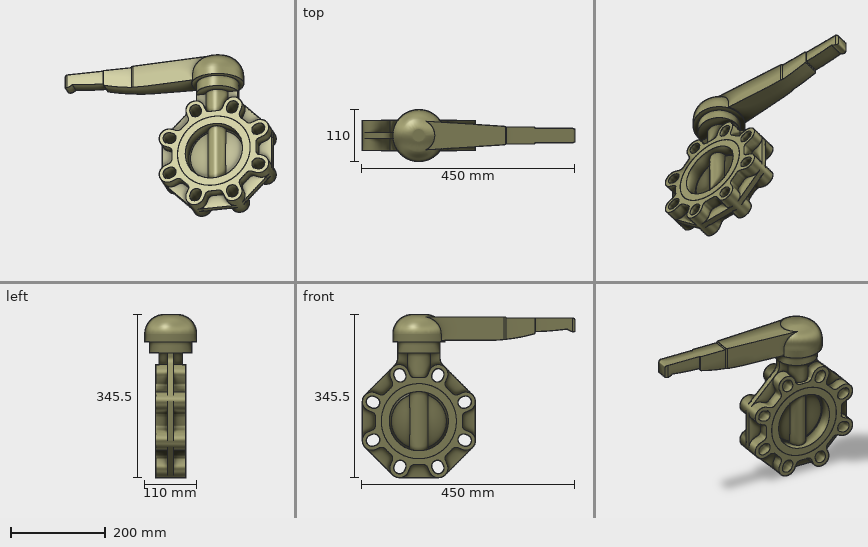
import cadquery as cq
import math


LUG_COUNT = 8
LUG_STEP = 360 / LUG_COUNT
HOUSING_LENGTH = 64.0
OUTER_APOTHEM = 119.5
HUB_APOTHEM = 91.8
LUG_WIDTH = 40.5
LUG_FILLET = 10.5
SLOT_WIDTH = 24.0
SLOT_TRAVEL = 4.5
SLOT_RADIUS = 105.0
WEB_THICKNESS = 12.5
WEB_FILLET = 22.5
NECK_DIAMETER = 50.5
FLANGE_DIAMETER = 90.0
FLANGE_BOTTOM = 144.5
FLANGE_TOP = 168.0

LINER_DIAMETER = 159.0
BORE_DIAMETER = 125.0
LINER_LENGTH = 65.0

SHAFT_DIAMETER = 40.5
DISC_FACE_DIAMETER = 116.5
DISC_RIM_THICKNESS = 4.5
DISC_FACE_THICKNESS = 9.0
DISC_THICKNESS = 14.5

KNOB_DIAMETER = 110.0
KNOB_FLAT_DIAMETER = 26.0
KNOB_TOP = 226.0
KNOB_ROUND = (KNOB_DIAMETER - KNOB_FLAT_DIAMETER) / 2

OVERALL_LENGTH = 450.0
LEVER_END = OVERALL_LENGTH - OUTER_APOTHEM
ARM_START = 12.5
ARM_END = 180.5
ARM_TOP = 220.5
ARM_BOTTOM = 170.5
ARM_START_WIDTH = 60.7
ARM_END_WIDTH = 39.5
ARM_STEP = 2.2
ARM_STEP_LENGTH = 3.5
ARM_TOP_STEP_START = 183.0
ARM_TOP_STEP_LENGTH = 2.2
ARM_BOTTOM_BEND = 144.0

SHANK_END = 245.0
SHANK_WIDTH = 36.5
SHANK_END_BOTTOM = 184.0
SHANK_ROUND = 2.0

GRIP_START = 246.5
GRIP_WIDTH = 31.5
GRIP_TOP = ARM_TOP - ARM_STEP
GRIP_BOTTOM = 189.0
GRIP_WAIST = 313.5
GRIP_WAIST_BOTTOM = 194.5
GRIP_BELLY = 1.0
HOOK_START = 325.0
HOOK_BULGE = 1.0
HOOK_CORNER = 2.2
GRIP_END_SIDE_CHAMFER = 2.5


def extrude_y(sketch, length):
    """Extrude an XZ sketch evenly to both sides of the plane Y = 0."""
    return sketch.extrude(length / 2, both=True)


def cylinder_y(diameter, length):
    return extrude_y(cq.Workplane("XZ").circle(diameter / 2), length)


def octagon(apothem, length):
    across_corners = 2 * apothem / math.cos(math.radians(LUG_STEP / 2))
    sketch = cq.Workplane("XZ").polygon(LUG_COUNT, across_corners)
    return extrude_y(sketch, length).rotate((0, 0, 0), (0, 1, 0), LUG_STEP / 2)


def lug_angles():
    return [(index + 0.5) * LUG_STEP for index in range(LUG_COUNT)]


def radial_slot(width, inner, outer):
    """Round-ended bar along X between two end-centre radii, as long as the housing."""
    sketch = (
        cq.Workplane("XZ")
        .center((inner + outer) / 2, 0)
        .slot2D(outer - inner + width, width)
    )
    return extrude_y(sketch, HOUSING_LENGTH)


def make_lugged_ring():
    lug_radius = (OUTER_APOTHEM - LUG_WIDTH / 2) / math.cos(math.radians(LUG_STEP / 2))
    ring = octagon(HUB_APOTHEM, HOUSING_LENGTH)
    lug = radial_slot(LUG_WIDTH, HUB_APOTHEM / 2, lug_radius)
    for angle in lug_angles():
        ring = ring.union(lug.rotate((0, 0, 0), (0, 1, 0), angle))
    corner_limit = HUB_APOTHEM + LUG_FILLET / 2
    corners = [
        edge for edge in ring.edges("|Y").vals()
        if math.hypot(edge.Center().x, edge.Center().z) < corner_limit
    ]
    return ring.newObject(corners).fillet(LUG_FILLET)


def make_web():
    """Thin octagon that ties the lugs together, with a neck web up to the flange."""
    web = octagon(OUTER_APOTHEM, WEB_THICKNESS).edges("|Y").fillet(LUG_WIDTH / 2)
    neck_x = FLANGE_DIAMETER / 2
    slope_middle = OUTER_APOTHEM * math.cos(math.radians(LUG_STEP))
    bend_z = 2 * slope_middle - neck_x
    half_outline = [(neck_x, FLANGE_BOTTOM), (neck_x, bend_z), (slope_middle, slope_middle)]
    other_half = [(-x, z) for x, z in reversed(half_outline)]
    neck_web = extrude_y(
        cq.Workplane("XZ").polyline(half_outline + other_half).close(), WEB_THICKNESS
    )
    bends = [
        edge for edge in neck_web.edges("|Y").vals()
        if math.isclose(edge.Center().z, bend_z)
    ]
    return web.union(neck_web.newObject(bends).fillet(WEB_FILLET))


def make_housing():
    neck = cq.Workplane("XY").circle(NECK_DIAMETER / 2).extrude(FLANGE_TOP)
    flange = (
        cq.Workplane("XY")
        .workplane(offset=FLANGE_BOTTOM)
        .circle(FLANGE_DIAMETER / 2)
        .extrude(FLANGE_TOP - FLANGE_BOTTOM)
    )
    housing = make_lugged_ring().union(make_web()).union(neck).union(flange)
    housing = housing.cut(cylinder_y(LINER_DIAMETER, LINER_LENGTH))
    slot = radial_slot(
        SLOT_WIDTH, SLOT_RADIUS - SLOT_TRAVEL / 2, SLOT_RADIUS + SLOT_TRAVEL / 2
    )
    for angle in lug_angles():
        housing = housing.cut(slot.rotate((0, 0, 0), (0, 1, 0), angle))
    return housing


def make_liner():
    return cylinder_y(LINER_DIAMETER, LINER_LENGTH).cut(cylinder_y(BORE_DIAMETER, LINER_LENGTH))


def make_disc():
    """Crowned disc with a bevelled rim, carried on a shaft that spans the bore."""
    bore_radius = BORE_DIAMETER / 2
    face_radius = DISC_FACE_DIAMETER / 2
    crown = (DISC_THICKNESS - DISC_FACE_THICKNESS) / 2
    crown_radius = (face_radius ** 2 + crown ** 2) / (2 * crown)
    middle_r = face_radius / 2
    middle_y = DISC_THICKNESS / 2 - crown_radius + math.sqrt(crown_radius ** 2 - middle_r ** 2)
    disc = (
        cq.Workplane("XY")
        .moveTo(0, -DISC_THICKNESS / 2)
        .threePointArc((middle_r, -middle_y), (face_radius, -DISC_FACE_THICKNESS / 2))
        .lineTo(bore_radius, -DISC_RIM_THICKNESS / 2)
        .lineTo(bore_radius, DISC_RIM_THICKNESS / 2)
        .lineTo(face_radius, DISC_FACE_THICKNESS / 2)
        .threePointArc((middle_r, middle_y), (0, DISC_THICKNESS / 2))
        .close()
        .revolve(360, (0, 0, 0), (0, 1, 0))
    )
    shaft = (
        cq.Workplane("XY")
        .circle(SHAFT_DIAMETER / 2)
        .extrude(bore_radius, both=True)
        .intersect(cylinder_y(BORE_DIAMETER, LINER_LENGTH))
    )
    return disc.union(shaft)


def make_knob():
    return (
        cq.Workplane("XY")
        .workplane(offset=FLANGE_TOP)
        .circle(KNOB_DIAMETER / 2)
        .extrude(KNOB_TOP - FLANGE_TOP)
        .faces(">Z")
        .edges()
        .fillet(KNOB_ROUND)
    )


def make_lever_profile():
    """Side profile of the lever, as wide as its widest end."""
    belly_middle = (
        (GRIP_START + GRIP_WAIST) / 2,
        (GRIP_BOTTOM + GRIP_WAIST_BOTTOM) / 2 - GRIP_BELLY,
    )
    hook_middle = (
        (GRIP_WAIST + HOOK_START) / 2,
        (GRIP_BOTTOM + GRIP_WAIST_BOTTOM) / 2 - HOOK_BULGE,
    )
    end_round = LEVER_END - HOOK_START
    return extrude_y(
        cq.Workplane("XZ")
        .moveTo(ARM_START, ARM_BOTTOM)
        .lineTo(ARM_BOTTOM_BEND, ARM_BOTTOM)
        .tangentArcPoint((SHANK_END - SHANK_ROUND, SHANK_END_BOTTOM), relative=False)
        .radiusArc((SHANK_END, SHANK_END_BOTTOM + SHANK_ROUND), -SHANK_ROUND)
        .lineTo(GRIP_START, GRIP_BOTTOM)
        .threePointArc(belly_middle, (GRIP_WAIST, GRIP_WAIST_BOTTOM))
        .threePointArc(hook_middle, (HOOK_START, GRIP_BOTTOM))
        .lineTo(LEVER_END - HOOK_CORNER, GRIP_BOTTOM)
        .radiusArc((LEVER_END, GRIP_BOTTOM + HOOK_CORNER), -HOOK_CORNER)
        .lineTo(LEVER_END, GRIP_TOP - end_round)
        .radiusArc((HOOK_START, GRIP_TOP), -end_round)
        .lineTo(ARM_TOP_STEP_START + ARM_TOP_STEP_LENGTH, GRIP_TOP)
        .lineTo(ARM_TOP_STEP_START, ARM_TOP)
        .lineTo(ARM_START, ARM_TOP)
        .close(),
        ARM_START_WIDTH,
    )


def make_lever_outline():
    """Outline of the lever along its length and width, tapering towards the grip."""
    half = (
        cq.Workplane("XY")
        .moveTo(ARM_START, 0)
        .lineTo(ARM_START, ARM_START_WIDTH / 2)
        .lineTo(ARM_END, ARM_END_WIDTH / 2)
        .lineTo(ARM_END + ARM_STEP_LENGTH, SHANK_WIDTH / 2)
        .lineTo(SHANK_END - SHANK_ROUND, SHANK_WIDTH / 2)
        .radiusArc((SHANK_END, SHANK_WIDTH / 2 - SHANK_ROUND), SHANK_ROUND)
        .lineTo(GRIP_START, GRIP_WIDTH / 2)
        .lineTo(HOOK_START, GRIP_WIDTH / 2)
        .lineTo(LEVER_END, GRIP_WIDTH / 2 - GRIP_END_SIDE_CHAMFER)
        .lineTo(LEVER_END, 0)
        .close()
        .extrude(ARM_TOP)
    )
    return half.union(half.mirror("XZ"))


def make_lever():
    return make_lever_profile().intersect(make_lever_outline())


def make_handle():
    return make_knob().union(make_lever())


housing = make_housing()
liner = make_liner()
disc = make_disc()
handle = make_handle()

result = cq.Compound.makeCompound([housing.val(), liner.val(), disc.val(), handle.val()])